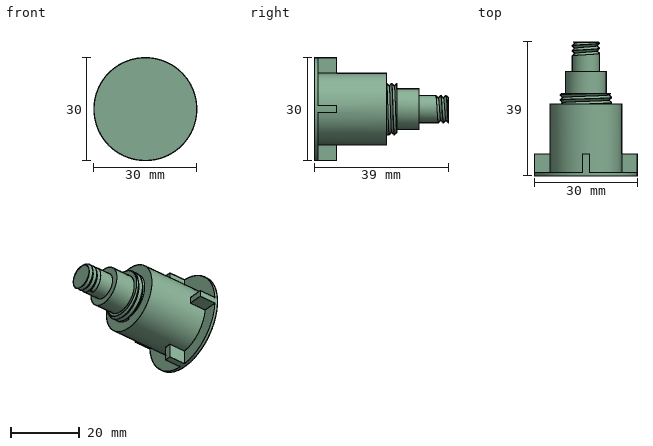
import cadquery as cq

flange_top = 1.0
rib_top = 6.5
body_top = 21.0
collar_top = 24.0
shaft_top = 30.5
tip_top = 39.0

flange_diameter = 30.0
body_diameter = 21.0
collar_diameter = 15.0
shaft_diameter = 12.0
tip_diameter = 8.0

rib_count = 4
rib_width = 2.0

thread_pitch = 1.5
thread_depth = 0.7
crest_land = 0.03
groove_overcut = 0.01
trim_allowance = 3 * thread_pitch

tip_groove_start = 35.3
collar_groove_start = body_top


def cylinder(diameter, bottom, top):
    """Cylinder along +Z; the part is built upright and laid along +Y at the end."""
    return cq.Workplane("XY").workplane(offset=bottom).circle(diameter / 2).extrude(top - bottom)


def thread_groove(diameter, start, end):
    """V-shaped helical cutter that begins on the +Y side and runs out past the end."""
    outer = diameter / 2 + groove_overcut
    root = diameter / 2 - thread_depth
    half_width = (thread_pitch - crest_land) / 2
    height = end - start + thread_pitch
    path = cq.Wire.makeHelix(thread_pitch, height, diameter / 2)
    groove = (
        cq.Workplane("XZ")
        .polyline([(outer, -half_width), (root, 0), (outer, half_width)])
        .close()
        .sweep(cq.Workplane(path), isFrenet=True)
    )
    return groove.rotate((0, 0, 0), (0, 0, 1), 90).translate((0, 0, start))


def threaded_cylinder(diameter, bottom, top, groove_start):
    """Cylinder grooved from groove_start up to its flat top.

    The groove is cut in an overlong blank, which is then trimmed to length.
    """
    blank = cylinder(diameter, bottom, top + trim_allowance)
    waste = cylinder(2 * diameter, top, top + 2 * trim_allowance)
    return blank.cut(thread_groove(diameter, groove_start, top)).cut(waste)


def ribs():
    """Radial ribs from the axis out to the flange rim, with rounded outer faces."""
    blades = (
        cq.Workplane("XY")
        .workplane(offset=flange_top)
        .polarArray(flange_diameter / 4, 0, 360, rib_count)
        .rect(flange_diameter / 2, rib_width)
        .extrude(rib_top - flange_top)
    )
    return blades.intersect(cylinder(flange_diameter, flange_top, rib_top))


flange = cylinder(flange_diameter, 0, flange_top)
body = cylinder(body_diameter, flange_top, body_top)
collar = threaded_cylinder(collar_diameter, body_top, collar_top, collar_groove_start)
shaft = cylinder(shaft_diameter, body_top, shaft_top)
tip = threaded_cylinder(tip_diameter, shaft_top, tip_top, tip_groove_start)

upright = flange.union(ribs()).union(body).union(collar).union(shaft).union(tip)

result = upright.rotate((0, 0, 0), (1, 0, 0), -90)